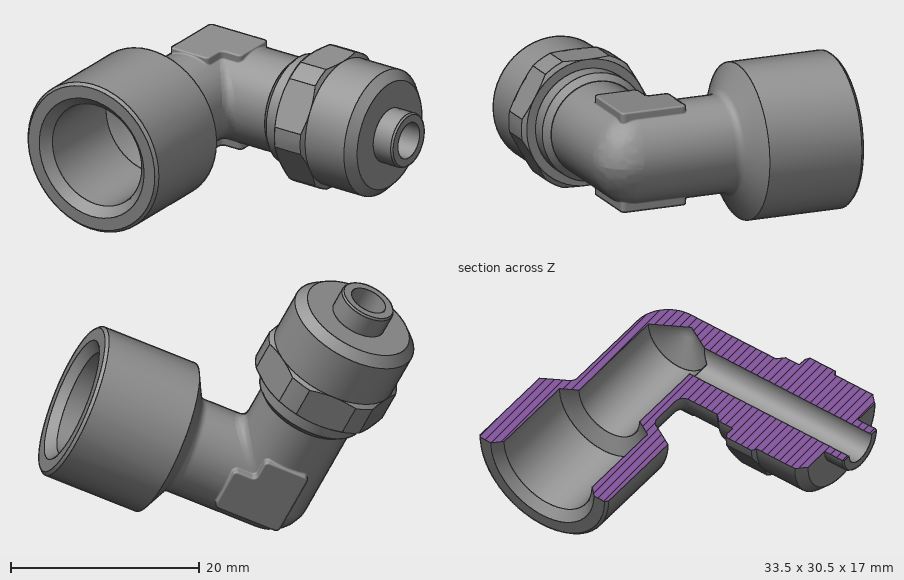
import cadquery as cq
import math


overall_length = 33.5
overall_width = 30.5
hex_corner_radius = 7.5

tube_radius = 5.25
outer_bend_radius = 4.0
inner_bend_radius = 1.0

socket_diameter = 17.0
socket_radius = socket_diameter / 2
socket_end = overall_width - hex_corner_radius
socket_shoulder = 12.0
shoulder_angle = math.radians(30)
shoulder_fillet = 1.0
blend_turn = math.pi / 2 - shoulder_angle
shoulder_top = socket_shoulder - (socket_radius - tube_radius) * math.tan(shoulder_angle)
blend_start = shoulder_top - shoulder_fillet * math.tan(blend_turn / 2)
rim_chamfer_width = 0.3
rim_chamfer_length = 0.35

thread_radius = 5.8
thread_mouth_radius = 6.8
thread_bottom = 12.05
core_radius = 4.0
core_overrun = 1.4
drill_point_angle = math.radians(30)

passage_radius = 2.0

collar_start = 10.0
collar_chamfer = 0.7
collar_radius = 6.0
hex_start = 12.53
hex_end = 16.48
hex_chamfer_length = 0.3
nut_radius = 7.0
nut_end = 22.5
nut_end_chamfer = 1.0
barb_radius = 3.0
barb_end = overall_length - socket_radius
barb_tip_width = 0.15
barb_tip_length = 0.25

pad_near = 2.5
pad_far = 5.02
pad_height = 5.53
pad_corner_radius = 0.5
pad_rim_fillet = 0.2
pad_base_fillet = 0.2

TOLERANCE = 0.005


def turned_on_x(profile):
    return profile.close().revolve(360, (0, 0, 0), (1, 0, 0))


def turned_on_y(profile):
    return profile.close().revolve(360, (0, 0, 0), (0, 1, 0))


def mitred_tube():
    """Two equal tubes, each running from the diagonal mitre plane to its own end."""
    start = 2 * tube_radius
    x_tube = cq.Workplane("YZ", origin=(-start, 0, 0)).circle(tube_radius)
    x_tube = x_tube.extrude(start + collar_start)
    y_tube = cq.Workplane("XZ", origin=(0, start, 0)).circle(tube_radius)
    y_tube = y_tube.extrude(start + blend_start)

    reach = 2 * socket_shoulder
    mitre_ends = [(-reach, reach), (reach, -reach)]
    x_side = cq.Workplane("XY").polyline(mitre_ends + [(reach, reach)]).close()
    y_side = cq.Workplane("XY").polyline(mitre_ends + [(-reach, -reach)]).close()
    x_tube = x_tube.intersect(x_side.extrude(start, both=True))
    y_tube = y_tube.intersect(y_side.extrude(start, both=True))
    return x_tube.union(y_tube)


def wrench_pads():
    """One L-shaped block through the elbow; its two ends stand out as the pads."""
    outline = [
        (-pad_near, pad_near),
        (pad_far, pad_near),
        (pad_far, -pad_near),
        (pad_near, -pad_near),
        (pad_near, -pad_far),
        (-pad_near, -pad_far),
    ]
    block = cq.Workplane("XY").polyline(outline).close().extrude(pad_height, both=True)
    block = block.edges("|Z").fillet(pad_corner_radius)
    return block.faces("|Z").edges().fillet(pad_rim_fillet)


def mitre_edges(body, side):
    """Tube-to-tube edges clear of the pads, outside (side -1) or inside (side +1) the bend."""

    def on_mitre(edge):
        middle = edge.positionAt(0.5)
        in_plane = abs(middle.x + middle.y) < TOLERANCE
        return in_plane and middle.x * side > pad_near + TOLERANCE

    return body.newObject([edge for edge in body.edges().vals() if on_mitre(edge)])


def pad_base_edges(body):
    """Curved edges where the pad walls meet the tubes."""

    def on_base(edge):
        box = edge.BoundingBox()
        inside_outline = (
            min(box.xmin, -box.ymax) > -pad_near - TOLERANCE
            and max(box.xmax, -box.ymin) < pad_far + TOLERANCE
        )
        one_pad_only = box.zmin * box.zmax > 0
        on_tube = max(box.zmax, -box.zmin) < tube_radius + TOLERANCE
        return inside_outline and one_pad_only and on_tube and edge.geomType() != "LINE"

    return body.newObject([edge for edge in body.edges().vals() if on_base(edge)])


def elbow():
    body = mitred_tube().union(wrench_pads())
    body = mitre_edges(body, -1).fillet(outer_bend_radius)
    body = mitre_edges(body, 1).fillet(inner_bend_radius)
    return pad_base_edges(body).fillet(pad_base_fillet)


def socket():
    """Socket body with its sloping shoulder blended into the tube by a concave arc."""
    blend_center_radius = tube_radius + shoulder_fillet

    def on_blend(turn):
        radius = blend_center_radius - shoulder_fillet * math.cos(turn)
        return (radius, -(blend_start + shoulder_fillet * math.sin(turn)))

    profile = (
        cq.Workplane("XY")
        .moveTo(0, -blend_start)
        .lineTo(*on_blend(0))
        .threePointArc(on_blend(blend_turn / 2), on_blend(blend_turn))
        .lineTo(socket_radius, -socket_shoulder)
        .lineTo(socket_radius, -(socket_end - rim_chamfer_length))
        .lineTo(socket_radius - rim_chamfer_width, -socket_end)
        .lineTo(0, -socket_end)
    )
    return turned_on_y(profile)


def compression_end():
    """Collar, nut barrel and hose barb turned as one piece, with the hexagon added."""
    nut_face_radius = nut_radius - nut_end_chamfer
    turned = turned_on_x(
        cq.Workplane("XY").polyline([
            (collar_start, 0),
            (collar_start, collar_radius - collar_chamfer),
            (collar_start + collar_chamfer, collar_radius),
            (hex_start, collar_radius),
            (hex_start, nut_radius),
            (nut_end - nut_end_chamfer, nut_radius),
            (nut_end, nut_face_radius),
            (nut_end, barb_radius),
            (barb_end - barb_tip_length, barb_radius),
            (barb_end, barb_radius - barb_tip_width),
            (barb_end, 0),
        ])
    )
    return turned.union(hexagon())


def hexagon():
    """Wrench hexagon with flats facing +Z and -Z and corners turned down and chamfered."""
    corner_circle = 2 * nut_radius / math.cos(math.pi / 6)
    prism = cq.Workplane("YZ", origin=(hex_start, 0, 0)).polygon(6, corner_circle)
    prism = prism.extrude(hex_end - hex_start)
    corner_limit = turned_on_x(
        cq.Workplane("XY").polyline([
            (hex_start, 0),
            (hex_start, nut_radius),
            (hex_start + hex_chamfer_length, hex_corner_radius),
            (hex_end - hex_chamfer_length, hex_corner_radius),
            (hex_end, nut_radius),
            (hex_end, 0),
        ])
    )
    return prism.intersect(corner_limit)


def bores():
    drill_slope = math.tan(drill_point_angle)
    mouth_depth = thread_mouth_radius - thread_radius
    core_start = thread_bottom - (thread_radius - core_radius) * drill_slope
    core_tip = core_overrun + core_radius * drill_slope
    socket_bore = turned_on_y(
        cq.Workplane("XY").polyline([
            (0, -socket_end),
            (thread_mouth_radius, -socket_end),
            (thread_radius, -(socket_end - mouth_depth)),
            (thread_radius, -thread_bottom),
            (core_radius, -core_start),
            (core_radius, core_overrun),
            (0, core_tip),
        ])
    )
    passage = cq.Workplane("YZ").circle(passage_radius).extrude(barb_end)
    return socket_bore.union(passage)


result = elbow().union(socket()).union(compression_end()).cut(bores())